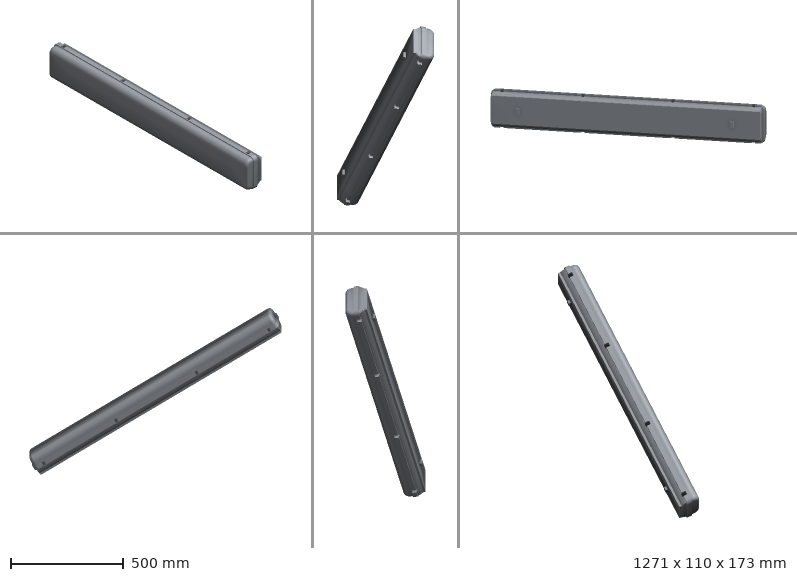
import cadquery as cq


rim_length = 1271.0
rim_height = 173.0
rim_front = 42.0
rim_back = 65.0
rim_corner_radius = 20.0

cover_inset = 5.0
cover_length = rim_length - 2 * cover_inset
cover_height = rim_height - 2 * cover_inset
cover_long_radius = 30.0
cover_end_radius = rim_corner_radius - cover_inset

tray_length = 1252.0
tray_back = 99.0
tray_back_height = 126.0
tray_front_height = 158.0
tray_middle_height = 145.0
flare_start = 89.0
flare_middle = 78.0

end_panel_inset = 5.0
end_panel_length = 1256.0

slot_width = 18.0
slot_front = 46.0
slot_back = 69.0
slot_outer_x = 586.0
slot_inner_x = 210.0

lug_x = 500.0
lug_width = 17.0
lug_height = 27.0
lug_back = 110.0


def block(length, y_front, y_back, height, x=0):
    """Block centred on Z and on the given X, between two Y positions."""
    return (
        cq.Workplane("XY")
        .box(length, y_back - y_front, height)
        .translate((x, (y_front + y_back) / 2, 0))
    )


def make_cover():
    """Shallow cover with rounded long front edges and rounded ends."""
    cover = block(cover_length, 0, rim_front, cover_height)
    cover = cover.edges("|X and <Y").fillet(cover_long_radius)
    end_edges = cover.faces("<X or >X").edges("not(>Y)")
    return end_edges.fillet(cover_end_radius)


def tray_prism(length, inset):
    """Prism along X with the tray's outline, drawn in by an inset at the back, top and bottom."""
    back = tray_back - inset
    back_half = tray_back_height / 2 - inset
    middle_half = tray_middle_height / 2 - inset
    front_half = tray_front_height / 2 - inset
    outline = (
        cq.Workplane("YZ")
        .moveTo(rim_back, -front_half)
        .lineTo(rim_back, front_half)
        .threePointArc((flare_middle, middle_half), (flare_start, back_half))
        .lineTo(back, back_half)
        .lineTo(back, -back_half)
        .lineTo(flare_start, -back_half)
        .threePointArc((flare_middle, -middle_half), (rim_back, -front_half))
        .close()
    )
    return outline.extrude(length / 2, both=True)


def make_housing():
    """Tray and rim with the mounting lugs, cut by the slots."""
    rim = block(rim_length, rim_front, rim_back, rim_height).edges("|Y").fillet(rim_corner_radius)
    tray = tray_prism(tray_length, 0)
    end_panels = tray_prism(end_panel_length, end_panel_inset)
    housing = rim.union(tray).union(end_panels)
    for x in (-lug_x, lug_x):
        housing = housing.union(block(lug_width, tray_back, lug_back, lug_height, x))
    for x in (-slot_outer_x, -slot_inner_x, slot_inner_x, slot_outer_x):
        housing = housing.cut(block(slot_width, slot_front, slot_back, rim_height, x))
    return housing


cover = make_cover()
housing = make_housing()
result = cq.Compound.makeCompound([cover.val(), housing.val()])